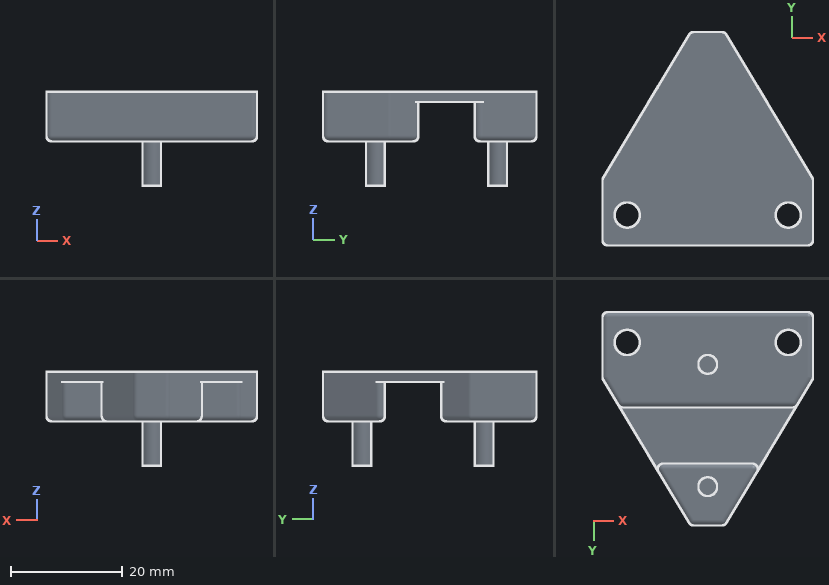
import cadquery as cq

body_width = 37.934
body_length = 38.464
body_height = 9.0
shoulder_y = 12.0
rear_width = 6.15
edge_radius = 1.0

channel_front_y = 17.2
channel_width = 10.1
roof_thickness = 1.9

hole_diameter = 4.5
hole_spacing = 29.0
hole_y = 5.5

pin_diameter = 3.4
pin_length = 8.0
front_pin_y = 9.45
pin_spacing = 22.0


def make_outline_prism(bottom_z, top_z):
    """Six-sided plan outline with sharp corners, extruded between two heights."""
    half_width = body_width / 2
    half_rear = rear_width / 2
    corners = [
        (-half_width, 0),
        (half_width, 0),
        (half_width, shoulder_y),
        (half_rear, body_length),
        (-half_rear, body_length),
        (-half_width, shoulder_y),
    ]
    return cq.Workplane("XY", origin=(0, 0, bottom_z)).polyline(corners).close().extrude(top_z - bottom_z)


def make_foot(start_y, end_y):
    """Part of the body on one side of the channel, rounded at its vertical and underside edges."""
    strip = (
        cq.Workplane("XY")
        .box(body_width, end_y - start_y, channel_height, centered=(True, False, False))
        .translate((0, start_y, 0))
    )
    foot = make_outline_prism(0, channel_height).intersect(strip)
    return foot.edges("|Z").fillet(edge_radius).faces("<Z").edges().fillet(edge_radius)


def make_pin(center_y):
    """Round pin hanging from the underside."""
    return cq.Workplane("XY").center(0, center_y).circle(pin_diameter / 2).extrude(-pin_length)


channel_height = body_height - roof_thickness
channel_rear_y = channel_front_y + channel_width

result = make_outline_prism(channel_height, body_height).edges("|Z").fillet(edge_radius)
result = result.union(make_foot(0, channel_front_y))
result = result.union(make_foot(channel_rear_y, body_length))

for pin_y in (front_pin_y, front_pin_y + pin_spacing):
    result = result.union(make_pin(pin_y))

hole_centers = [(-hole_spacing / 2, hole_y), (hole_spacing / 2, hole_y)]
holes = cq.Workplane("XY").pushPoints(hole_centers).circle(hole_diameter / 2).extrude(body_height)
result = result.cut(holes)